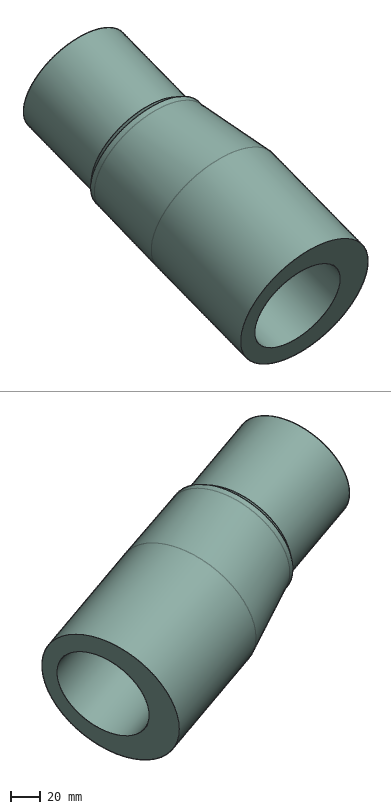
import cadquery as cq

total_length = 244.0
large_diameter = 110.0
collar_diameter = 98.0
spigot_diameter = 90.0
bore_diameter = 73.7

spigot_end = 74.7
collar_start = 79.0
taper_start = 83.2
taper_end = 145.7

small_axis_y = (collar_diameter - large_diameter) / 2


def section_plane(x, axis_y):
    """Plane across the pipe at station x, centred on the given axis."""
    return cq.Workplane("YZ", origin=(x, axis_y, 0))


def pipe(start, end, diameter, axis_y):
    return section_plane(start, axis_y).circle(diameter / 2).extrude(end - start)


def transition(start, end, start_diameter, end_diameter, start_y, end_y):
    """Straight-sided transition between two round sections."""
    return (
        section_plane(start, start_y)
        .circle(start_diameter / 2)
        .workplane(offset=end - start)
        .center(end_y - start_y, 0)
        .circle(end_diameter / 2)
        .loft(ruled=True)
    )


spigot = pipe(0, spigot_end, spigot_diameter, small_axis_y)
shoulder = transition(
    spigot_end, collar_start, spigot_diameter, collar_diameter, small_axis_y, small_axis_y
)
collar = pipe(collar_start, taper_start, collar_diameter, small_axis_y)
taper = transition(taper_start, taper_end, collar_diameter, large_diameter, small_axis_y, 0)
large_pipe = pipe(taper_end, total_length, large_diameter, 0)

bore = pipe(0, total_length, bore_diameter, small_axis_y)

body = spigot.union(shoulder).union(collar).union(taper).union(large_pipe)
result = body.cut(bore)